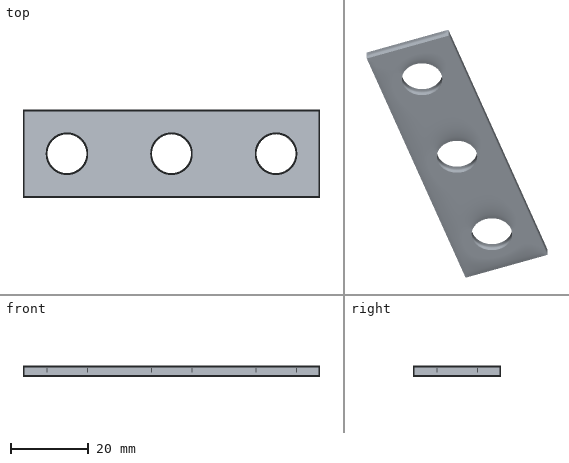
import cadquery as cq

length = 76.2
width = 22.3
thickness = 2.5

hole_diameter = 10.45
hole_count = 3
end_margin = width / 2
hole_pitch = (length - 2 * end_margin) / (hole_count - 1)

bar = cq.Workplane("XY").box(length, width, thickness)

result = (
    bar.faces(">Z")
    .workplane()
    .rarray(hole_pitch, width, hole_count, 1)
    .hole(hole_diameter)
)